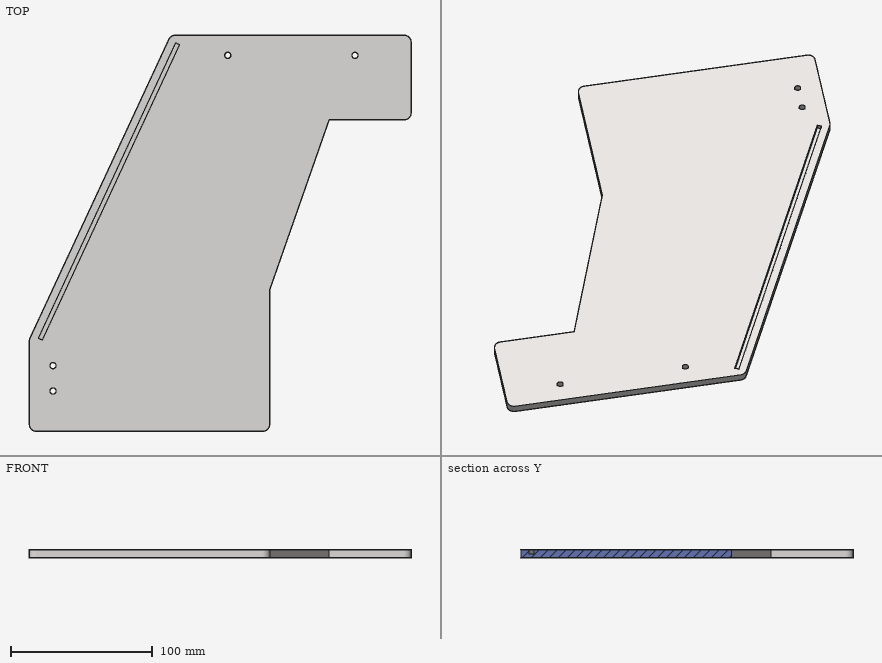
import cadquery as cq
import math

width = 270.0
length = 280.0
thickness = 6.0
corner_radius = 5.0

foot_width = 170.0
foot_height = 100.0
arm_height = 60.0
arm_root_x = 212.0
slant_start_y = 65.0
slant_end_x = 100.0

hole_diameter = 4.2
foot_hole_x = 16.8
foot_hole_heights = (28.5, 46.5)
arm_hole_y = length - 14.3
arm_hole_positions = (140.3, 230.2)

groove_length = 230.2
groove_width = 3.0
groove_depth = 3.0
groove_inset = 7.0


def make_plate():
    outline = [
        (0, 0),
        (foot_width, 0),
        (foot_width, foot_height),
        (arm_root_x, length - arm_height),
        (width, length - arm_height),
        (width, length),
        (slant_end_x, length),
        (0, slant_start_y),
    ]
    sharp_corners = (outline[2], outline[3])
    plate = cq.Workplane("XY").polyline(outline).close().extrude(thickness)
    for x, y in outline:
        if (x, y) not in sharp_corners:
            corner = cq.selectors.NearestToPointSelector((x, y, thickness / 2))
            plate = plate.edges("|Z").edges(corner).fillet(corner_radius)
    return plate


def make_holes():
    centres = [(foot_hole_x, y) for y in foot_hole_heights]
    centres += [(x, arm_hole_y) for x in arm_hole_positions]
    return cq.Workplane("XY").pushPoints(centres).circle(hole_diameter / 2).extrude(thickness)


def make_groove():
    slant_angle = math.atan2(length - slant_start_y, slant_end_x)
    centre_x = slant_end_x / 2 + groove_inset * math.sin(slant_angle)
    centre_y = (slant_start_y + length) / 2 - groove_inset * math.cos(slant_angle)
    return (
        cq.Workplane("XY")
        .rect(groove_length, groove_width)
        .extrude(groove_depth)
        .rotate((0, 0, 0), (0, 0, 1), math.degrees(slant_angle))
        .translate((centre_x, centre_y, thickness - groove_depth))
    )


result = make_plate().cut(make_holes()).cut(make_groove())